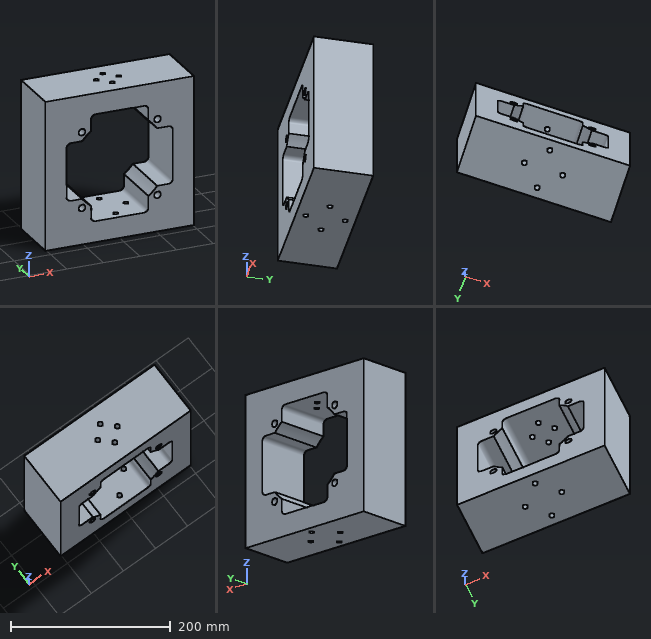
import cadquery as cq

side = 203.2
depth = 76.2

opening_length = 145.5
opening_width = 78.5
corner_radius = 6.3
bore_diameter = 128.8

face_hole_diameter = 9.0
face_hole_spacing = 103.2

wall_hole_diameter = 6.3
top_pattern_radius = 15.2
bottom_pattern_radius = 25.2
wall_thickness = (side - opening_length) / 2


def opening_arm(size_x, size_z):
    """One rounded rectangular bar of the cross, running the full depth."""
    return cq.Workplane("XY").box(size_x, depth, size_z).edges("|Y").fillet(corner_radius)


def diamond_holes(pattern_radius, bottom_z):
    """Four vertical cylinders that pass through one wall, starting at bottom_z."""
    return (
        cq.Workplane("XY", origin=(0, 0, bottom_z))
        .polarArray(pattern_radius, 0, 360, 4)
        .circle(wall_hole_diameter / 2)
        .extrude(wall_thickness)
    )


block = cq.Workplane("XY").box(side, depth, side)

bore = cq.Workplane("XZ").circle(bore_diameter / 2).extrude(depth / 2, both=True)
opening = (
    opening_arm(opening_length, opening_width)
    .union(opening_arm(opening_width, opening_length))
    .union(bore)
)

face_holes = (
    cq.Workplane("XZ")
    .rarray(face_hole_spacing, face_hole_spacing, 2, 2)
    .circle(face_hole_diameter / 2)
    .extrude(depth / 2, both=True)
)

result = (
    block.cut(opening)
    .cut(face_holes)
    .cut(diamond_holes(top_pattern_radius, opening_length / 2))
    .cut(diamond_holes(bottom_pattern_radius, -side / 2))
)